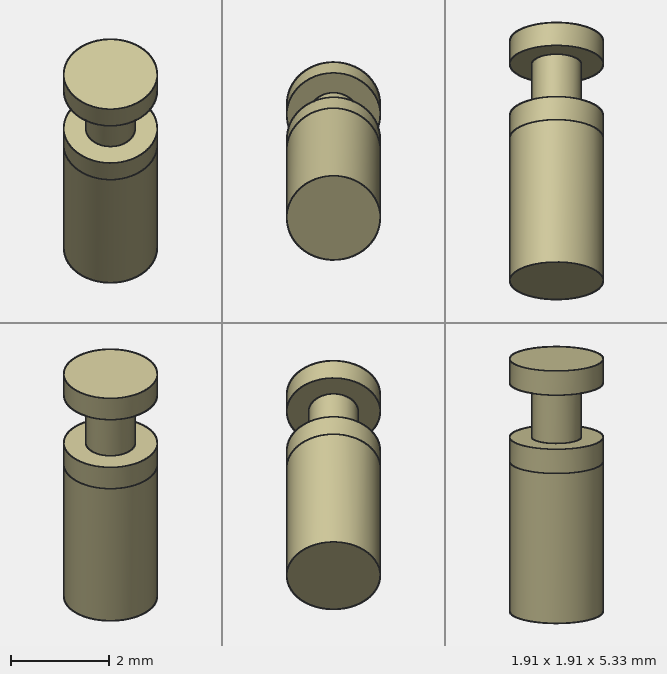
import cadquery as cq

total_height = 5.33
outer_diameter = 1.91
neck_diameter = 1.015
disc_thickness = 0.51
neck_height = 1.14

collar_bottom = total_height - 2 * disc_thickness - neck_height
neck_bottom = collar_bottom + disc_thickness
head_bottom = neck_bottom + neck_height


def cylinder(diameter, bottom, height):
    """Upright cylinder on the Z axis."""
    return cq.Workplane("XY").workplane(offset=bottom).circle(diameter / 2).extrude(height)


def make_base():
    """Plain cylinder that carries the spool."""
    return cylinder(outer_diameter, 0, collar_bottom)


def make_spool():
    """Collar, narrow neck and head in one piece, resting on the base."""
    collar = cylinder(outer_diameter, collar_bottom, disc_thickness)
    neck = cylinder(neck_diameter, neck_bottom, neck_height)
    head = cylinder(outer_diameter, head_bottom, disc_thickness)
    return collar.union(neck).union(head)


base = make_base()
spool = make_spool()

result = cq.Compound.makeCompound([base.val(), spool.val()])